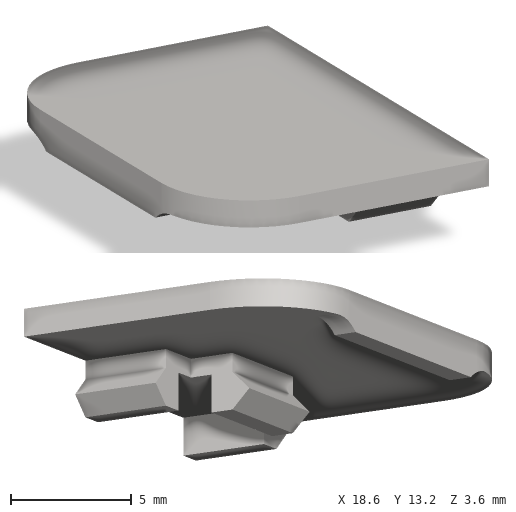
import cadquery as cq
import math

plate_width = 18.6
plate_depth = 13.22
plate_thickness = 1.19
corner_radius = 4.2

total_height = 3.6
base_height = 0.8
hook_thickness = 1.0
barb_reach = 0.82
side_hook_half_span = 4.4
side_hook_length = 3.9
front_hook_width = 4.82
front_hook_gap = 1.0

lip_depth = 1.02
lip_height = 0.5
lip_bottom_width = 9.19
cove_radius = 2.0

base_bottom = -base_height
hook_bottom = plate_thickness - total_height
barb_middle = (base_bottom + hook_bottom) / 2
side_hook_front = plate_depth - side_hook_length
front_hook_face = side_hook_front - front_hook_gap - hook_thickness


def block(width, y_start, y_end, z_start, z_end):
    """Box centred on X between the given Y and Z limits."""
    return cq.Workplane("XY").box(
        width, y_end - y_start, z_end - z_start, centered=(True, False, False)
    ).translate((0, y_start, z_start))


def hook(plane, outer_face, length):
    """Hook with its barb pointing to negative local x, extruded along the plane normal."""
    inner_face = outer_face + hook_thickness
    return (
        cq.Workplane(plane)
        .moveTo(outer_face, base_bottom)
        .lineTo(outer_face - barb_reach, barb_middle)
        .lineTo(outer_face, hook_bottom)
        .lineTo(inner_face, hook_bottom)
        .lineTo(inner_face, base_bottom)
        .close()
        .extrude(length)
    )


def front_lip():
    """Lip whose ends sweep up into the plate underside through tangent coves."""
    half_bottom = lip_bottom_width / 2
    cove_angle = math.acos(1 - lip_height / cove_radius)
    half_top = half_bottom + cove_radius * math.sin(cove_angle)
    middle_x = half_top - cove_radius * math.sin(cove_angle / 2)
    middle_z = -cove_radius * (1 - math.cos(cove_angle / 2))
    return (
        cq.Workplane("XZ")
        .moveTo(-half_top, 0)
        .threePointArc((-middle_x, middle_z), (-half_bottom, -lip_height))
        .lineTo(half_bottom, -lip_height)
        .threePointArc((middle_x, middle_z), (half_top, 0))
        .close()
        .extrude(-lip_depth)
    )


outline = (
    block(plate_width, 0, plate_depth, hook_bottom, plate_thickness)
    .edges("|Z and <Y")
    .fillet(corner_radius)
)
plate = block(plate_width, 0, plate_depth, 0, plate_thickness)
cover = plate.union(front_lip()).intersect(outline)

wide_base = block(2 * side_hook_half_span, side_hook_front, plate_depth, base_bottom, 0)
narrow_base = block(front_hook_width, front_hook_face, plate_depth, base_bottom, 0)

left_hook = hook("XZ", -side_hook_half_span, -side_hook_length).translate((0, side_hook_front, 0))
right_hook = left_hook.mirror("YZ")
front_hook = hook("YZ", front_hook_face, front_hook_width).translate((-front_hook_width / 2, 0, 0))

result = cover.union(wide_base).union(narrow_base)
for snap_hook in (left_hook, right_hook, front_hook):
    result = result.union(snap_hook)